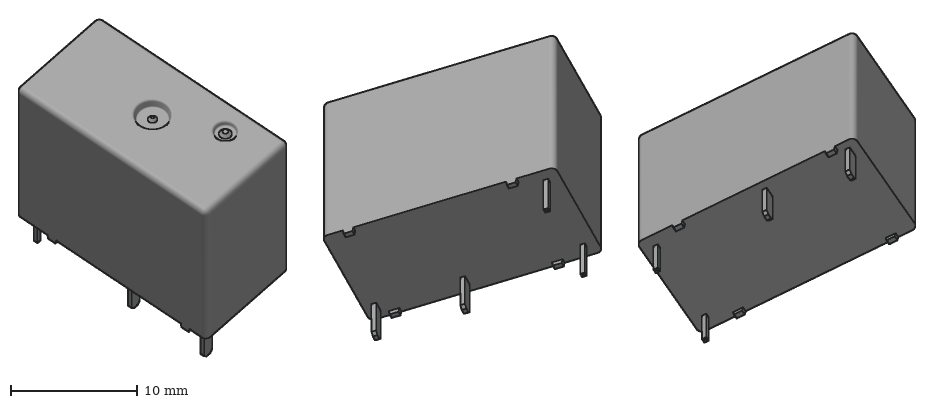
import cadquery as cq

body_length = 20.0
body_width = 10.0
body_height = 15.55
body_edge_radius = 0.5

pin_length = 3.45
pin_thickness = 0.4
blade_width = 1.0
row_y = 3.82
coil_pin_x = -8.8
blade_xs = (1.35, 8.98)
coil_tip_chamfer = 0.1
blade_tip_height = 0.28
blade_tip_inset = 0.28
pin_root = 0.2

foot_height = 0.4
foot_depth = 0.45
foot_top_width = 0.92
foot_bottom_width = 0.75
foot_xs = (-6.25, 7.75)

recess_draft = 20.0
recess_rim_radius = 0.2
recess_floor_radius = 0.1

gate_x = 0.0
gate_y = 0.0
gate_diameter = 3.02
gate_depth = 0.6
gate_pip_base = 0.75
gate_pip_top = 0.25
gate_pip_height = 0.25

vent_x = 5.48
vent_y = 2.5
vent_diameter = 2.0
vent_depth = 0.35
vent_pip_base = 1.05
vent_pip_top = 0.45
vent_pip_height = 0.28


def make_body():
    box = cq.Workplane("XY").box(body_length, body_width, body_height, centered=(True, True, False))
    return box.edges("|Z or >Z").fillet(body_edge_radius)


def make_coil_pin(x, y):
    height = pin_length + pin_root
    pin = cq.Workplane("XY").box(pin_thickness, pin_thickness, height, centered=(True, True, False))
    pin = pin.faces("<Z").chamfer(coil_tip_chamfer)
    return pin.translate((x, y, -pin_length))


def make_blade(x, y):
    """Flat terminal, wide along Y, with both corners of its tip cut off."""
    half = blade_width / 2
    tip_half = half - blade_tip_inset
    outline = [
        (-half, pin_root),
        (half, pin_root),
        (half, blade_tip_height - pin_length),
        (tip_half, -pin_length),
        (-tip_half, -pin_length),
        (-half, blade_tip_height - pin_length),
    ]
    blade = cq.Workplane("YZ").polyline(outline).close().extrude(pin_thickness / 2, both=True)
    return blade.translate((x, y, 0))


def make_foot(x, side):
    """Tapered foot flush with the long face on the given side (+1 or -1 along Y)."""
    outline = [
        (-foot_top_width / 2, 0),
        (foot_top_width / 2, 0),
        (foot_bottom_width / 2, -foot_height),
        (-foot_bottom_width / 2, -foot_height),
    ]
    foot = cq.Workplane("XZ").polyline(outline).close().extrude(foot_depth / 2, both=True)
    return foot.translate((x, side * (body_width - foot_depth) / 2, 0))


def make_recess(x, y, mouth_diameter, depth):
    """Cutter for a round pocket with a drafted wall and a rounded floor edge."""
    cutter = cq.Workplane("XY").circle(mouth_diameter / 2).extrude(-depth, taper=recess_draft)
    cutter = cutter.faces("<Z").edges().fillet(recess_floor_radius)
    return cutter.translate((x, y, body_height))


def make_pip(x, y, base_diameter, top_diameter, height, depth):
    """Small cone standing on the floor of a recess."""
    profile = [
        (0, 0),
        (base_diameter / 2, 0),
        (top_diameter / 2, height),
        (0, height),
    ]
    pip = cq.Workplane("XZ").polyline(profile).close().revolve(360, (0, 0), (0, 1))
    return pip.translate((x, y, body_height - depth))


result = make_body()
result = result.cut(make_recess(gate_x, gate_y, gate_diameter, gate_depth))
result = result.cut(make_recess(vent_x, vent_y, vent_diameter, vent_depth))
result = result.faces(">Z").edges("%CIRCLE").fillet(recess_rim_radius)
result = result.union(make_pip(gate_x, gate_y, gate_pip_base, gate_pip_top, gate_pip_height, gate_depth))
result = result.union(make_pip(vent_x, vent_y, vent_pip_base, vent_pip_top, vent_pip_height, vent_depth))

for y in (-row_y, row_y):
    result = result.union(make_coil_pin(coil_pin_x, y))
for x in blade_xs:
    result = result.union(make_blade(x, -row_y))
for x in foot_xs:
    for side in (-1, 1):
        result = result.union(make_foot(x, side))